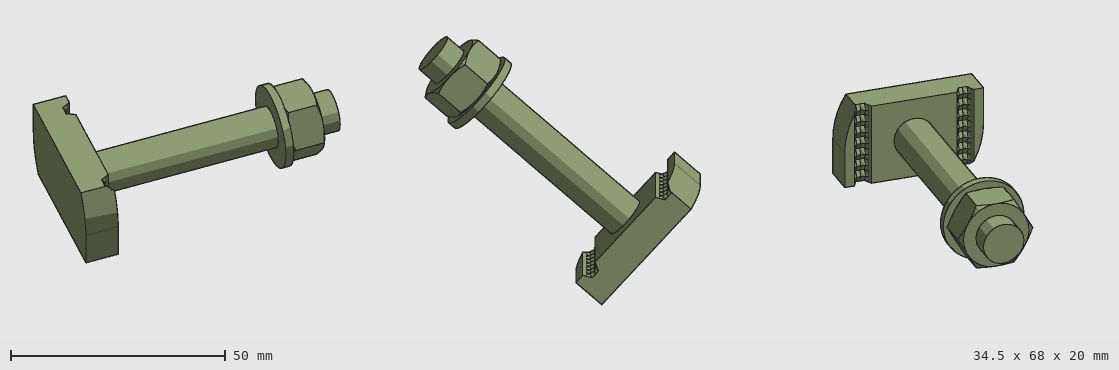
import cadquery as cq
import math

TOTAL_LENGTH = 68.0
SHANK_DIAMETER = 10.0
HEAD_LENGTH = 34.5
HEAD_WIDTH = 20.0
HEAD_THICKNESS = 8.1
ROUNDED_CORNER_INSET = 3.25
ROUNDED_CORNER_START = 0.95

GROOVE_OFFSET = 12.7
GROOVE_TOP_WIDTH = 4.2
GROOVE_FLOOR_WIDTH = 2.2
GROOVE_DEPTH = 2.05
TOOTH_EDGE_DEPTH = 0.8
TOOTH_CENTRE_DEPTH = 1.6
TOOTH_COUNT = 7

SHANK_PROTRUSION = 5.0
NUT_ACROSS_FLATS = 16.2
NUT_HEIGHT = 8.4
NUT_CHAMFER_ANGLE = 30
WASHER_DIAMETER = 20.0
WASHER_THICKNESS = 2.0

NUT_START = TOTAL_LENGTH - SHANK_PROTRUSION - NUT_HEIGHT
WASHER_START = NUT_START - WASHER_THICKNESS


def plane_at(y):
    """Plane across the bolt axis, with local x = X, local y = Z and normal = -Y."""
    return cq.Workplane("XZ", origin=(0, y, 0))


def cylinder(diameter, start, length):
    return plane_at(start).circle(diameter / 2).extrude(-length)


def make_head_blank():
    """Block with two diagonally opposite rounded corners."""
    half_length = HEAD_LENGTH / 2
    half_width = HEAD_WIDTH / 2
    corner_x = half_length - ROUNDED_CORNER_INSET
    return (
        plane_at(0)
        .moveTo(-half_length, half_width)
        .lineTo(-half_length, ROUNDED_CORNER_START)
        .tangentArcPoint((-corner_x, -half_width), relative=False)
        .lineTo(half_length, -half_width)
        .lineTo(half_length, -ROUNDED_CORNER_START)
        .tangentArcPoint((corner_x, half_width), relative=False)
        .close()
        .extrude(-HEAD_THICKNESS)
    )


def groove_section(centre_x, z, edge_half_width, floor_half_width, floor_depth, centre_depth):
    """Closed groove outline at height z, open side on the gripping face."""
    half_outline = [
        (GROOVE_TOP_WIDTH / 2, 0),
        (edge_half_width, TOOTH_EDGE_DEPTH),
        (floor_half_width, floor_depth),
    ]
    outline = [(-x, depth) for x, depth in half_outline]
    outline += [(0, centre_depth)]
    outline += reversed(half_outline)
    points = [cq.Vector(centre_x + x, HEAD_THICKNESS - depth, z) for x, depth in outline]
    return cq.Wire.makePolygon(points, close=True)


def make_groove_cutter(centre_x):
    """Trapezoidal groove whose floor rises to a row of V-crested teeth."""
    floor_half_width = GROOVE_FLOOR_WIDTH / 2
    flank_slope = (GROOVE_TOP_WIDTH - GROOVE_FLOOR_WIDTH) / 2 / GROOVE_DEPTH
    edge_half_width = GROOVE_TOP_WIDTH / 2 - flank_slope * TOOTH_EDGE_DEPTH
    crest_rise = (TOOTH_CENTRE_DEPTH - TOOTH_EDGE_DEPTH) * floor_half_width / edge_half_width
    valley = (edge_half_width, floor_half_width, GROOVE_DEPTH, GROOVE_DEPTH)
    crest = (edge_half_width, floor_half_width, TOOTH_CENTRE_DEPTH - crest_rise, TOOTH_CENTRE_DEPTH)
    half_pitch = HEAD_WIDTH / (2 * TOOTH_COUNT)
    sections = []
    for index in range(2 * TOOTH_COUNT + 1):
        z = -HEAD_WIDTH / 2 + index * half_pitch
        shape = valley if index % 2 == 0 else crest
        sections.append(groove_section(centre_x, z, *shape))
    return cq.Solid.makeLoft(sections, True)


def make_bolt():
    bolt = make_head_blank()
    for side in (-1, 1):
        bolt = bolt.cut(cq.Workplane(make_groove_cutter(side * GROOVE_OFFSET)))
    return bolt.union(cylinder(SHANK_DIAMETER, HEAD_THICKNESS, TOTAL_LENGTH - HEAD_THICKNESS))


def make_washer():
    hole = cylinder(SHANK_DIAMETER, WASHER_START, WASHER_THICKNESS)
    return cylinder(WASHER_DIAMETER, WASHER_START, WASHER_THICKNESS).cut(hole)


def make_nut():
    """Hexagon nut with corners along X and conical chamfers on both ends."""
    across_corners = NUT_ACROSS_FLATS / math.cos(math.pi / 6)
    corner_radius = across_corners / 2
    face_radius = NUT_ACROSS_FLATS / 2
    chamfer_height = (corner_radius - face_radius) * math.tan(math.radians(NUT_CHAMFER_ANGLE))
    nut_end = NUT_START + NUT_HEIGHT
    hexagon = plane_at(NUT_START).polygon(6, across_corners).extrude(-NUT_HEIGHT)
    chamfer_envelope = (
        cq.Workplane("XY")
        .moveTo(0, NUT_START)
        .lineTo(face_radius, NUT_START)
        .lineTo(corner_radius, NUT_START + chamfer_height)
        .lineTo(corner_radius, nut_end - chamfer_height)
        .lineTo(face_radius, nut_end)
        .lineTo(0, nut_end)
        .close()
        .revolve(360, (0, 0, 0), (0, 1, 0))
    )
    hole = cylinder(SHANK_DIAMETER, NUT_START, NUT_HEIGHT)
    return hexagon.intersect(chamfer_envelope).cut(hole)


bolt = make_bolt()
washer = make_washer()
nut = make_nut()

result = cq.Compound.makeCompound([body.solids().val() for body in (bolt, washer, nut)])